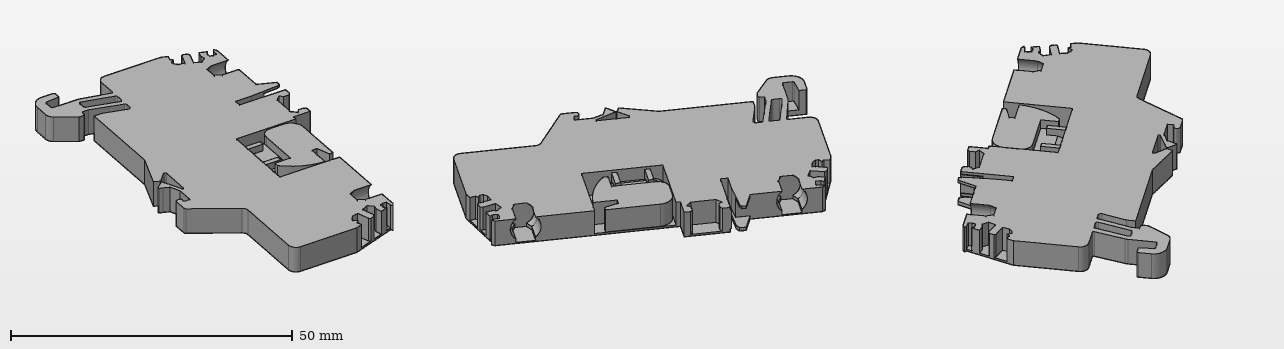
import cadquery as cq
import math

LENGTH = 66.0
HEIGHT = 40.5
THICKNESS = 5.2

SHOULDER_Y = 37.0
FLANK_BASE_Y = 27.3
BELLY_Y = 14.0
BELLY_RADIUS = 1.6
RAIL_Y = 7.05
LUG_Y = 4.6

BACK_WEB = 0.4
INNER_BACK = 0.7
INNER_FRONT = 4.7

FOOT_TOP_Y = 5.1
FOOT_TOE_RADIUS = 2.45
FOOT_HEEL_RADIUS = 1.65
STEM_X = 3.95
STEM_BEND_Y = 7.6
HOOK_WEB = 1.1
HOOK_FLOOR_Y = 2.05
HOOK_GUSSET = 0.4

PRONG_BASE_X = 16.5
SLOT_LEFT_X = 19.35
TOWER_LEFT_X = 20.7
TOWER_RIGHT_X = 29.1
SLOT_FLOOR_Y = 30.95
LIP_BOTTOM_Y = 33.1
SCOOP_TOP_Y = 38.1
SCOOP_HALF_WIDTH = (INNER_FRONT - INNER_BACK) / 2
LEDGE_WIDTH = 0.2
LEDGE_X = TOWER_LEFT_X - LEDGE_WIDTH
LEDGE_BOTTOM_Y = 36.5

GROOVE_CENTER_X = 25.05
GROOVE_FLOOR_Y = 37.5
GROOVE_HALF_WIDTHS = [(2.9, HEIGHT), (2.5, 40.1), (2.5, 39.0), (3.2, 38.5), (2.25, GROOVE_FLOOR_Y)]

SOCKET_X = 8.9
SOCKET_RADIUS = 2.8
SOCKET_MOUTH_HALF_WIDTH = 1.8
SOCKET_TIP_HALF_WIDTH = 1.05
SOCKET_CONE_Y = 33.5
SOCKET_FLOOR_Y = 32.2
SOCKET_FLOOR_Z = 0.25

WINDOW_LEFT_X = 29.9
WINDOW_RIGHT_X = 44.6
WINDOW_FLOOR_Y = 24.55
LEVER_TOP_Z = 5.1
LEVER_LEFT_X = 30.0
LEVER_TOP_Y = 36.9
LEVER_BOTTOM_Y = 29.5
LEVER_TOP_RADIUS = 2.65
LEVER_BOTTOM_RADIUS = 2.0
LEVER_TIP = (44.35, 34.1)
LEVER_FOOT_Y = 26.3
TRAY_LEFT_X = 30.2
TRAY_RIGHT_X = 40.1
TRAY_BOTTOM_Y = 25.0
TRAY_LEFT_RADIUS = 1.85
TRAY_RIGHT_RADIUS = 0.8
TRAY_BEVEL_WIDTH = 1.05
TRAY_BEVEL_DROP = 0.4
TRAY_FLOOR_Z = 3.3
BAR_WIDTH = 1.0
BAR_TOP_Y = 28.1
BAR_CENTERS_X = (32.7, 38.7)


def prism(points, bottom=0.0, top=THICKNESS):
    """Extrude a closed polygon between two Z levels."""
    return cq.Workplane("XY").workplane(offset=bottom).polyline(points).close().extrude(top - bottom)


def box(x_range, y_range, bottom=0.0, top=THICKNESS):
    """Axis-aligned block between two Z levels."""
    (x0, x1), (y0, y1) = x_range, y_range
    return prism([(x0, y0), (x1, y0), (x1, y1), (x0, y1)], bottom, top)


def with_mirror(solid):
    """The solid together with its copy at the other end of the housing."""
    return solid.add(solid.mirror("YZ").translate((LENGTH, 0, 0))).combine()


def round_corner(solid, x, y, radius):
    """Fillet the edge parallel to Z that passes through (x, y)."""
    edge = cq.selectors.BoxSelector((x - 0.05, y - 0.05, -0.65), (x + 0.05, y + 0.05, THICKNESS + 0.65))
    return solid.edges("|Z").edges(edge).fillet(radius)


def make_housing():
    """Full-thickness plate with the rail foot, spring stems and latch."""
    outline = [
        (0, BELLY_Y), (5.5, BELLY_Y), (STEM_X, STEM_BEND_Y), (STEM_X, FOOT_TOP_Y), (0, FOOT_TOP_Y),
        (0, 0), (6.15, 0), (9.05, LUG_Y), (9.05, 5.8), (7.9, 6.0), (7.9, 7.3), (9.8, BELLY_Y),
        (11.6, BELLY_Y), (10.15, 8.7), (10.15, RAIL_Y), (27.2, RAIL_Y),
        (34.05, LUG_Y), (34.6, 5.8), (32.7, 7.6), (32.8, 8.05), (38.75, 8.05), (38.75, 7.7), (34.7, 5.8),
        (36.35, 4.1), (36.7, 5.0), (37.15, 6.2), (39.15, RAIL_Y),
        (42.45, RAIL_Y), (42.45, 5.8), (41.4, 5.8), (41.4, LUG_Y), (44.55, LUG_Y),
        (50.15, BELLY_Y), (LENGTH, BELLY_Y), (LENGTH, FLANK_BASE_Y),
        (62.8, 36.35), (63.2, 36.6), (62.65, SHOULDER_Y),
        (TOWER_RIGHT_X, SHOULDER_Y), (TOWER_RIGHT_X, HEIGHT), (TOWER_LEFT_X, HEIGHT),
        (TOWER_LEFT_X, SLOT_FLOOR_Y), (SLOT_LEFT_X, SLOT_FLOOR_Y), (SLOT_LEFT_X, 34.3),
        (18.95, 40.0), (18.7, HEIGHT), (17.9, HEIGHT), (PRONG_BASE_X, SHOULDER_Y),
        (3.35, SHOULDER_Y), (2.8, 36.6), (3.2, 36.35), (0, FLANK_BASE_Y),
    ]
    housing = prism(outline)
    rounded = [
        (0, BELLY_Y, BELLY_RADIUS), (LENGTH, BELLY_Y, BELLY_RADIUS), (STEM_X, STEM_BEND_Y, 2.4),
        (0, FOOT_TOP_Y, 0.3), (0, 0, FOOT_TOE_RADIUS),
        (6.15, 0, FOOT_HEEL_RADIUS), (9.05, 5.8, 0.25), (9.8, BELLY_Y, 0.4), (11.6, BELLY_Y, 0.5),
        (5.5, BELLY_Y, 0.25), (32.7, 7.6, 0.2), (32.8, 8.05, 0.2), (36.35, 4.1, 0.2),
        (42.45, 5.8, 0.25), (41.4, 5.8, 0.25), (41.4, LUG_Y, 0.5), (44.55, LUG_Y, 0.45), (50.15, BELLY_Y, 1.3),
    ]
    for x, y, radius in rounded:
        housing = round_corner(housing, x, y, radius)
    return housing


def make_stem_slot():
    """Slanted opening that splits the stem into two springs."""
    slot = prism([(6.65, BELLY_Y), (8.7, BELLY_Y), (6.85, RAIL_Y), (4.9, RAIL_Y)])
    return slot.edges("|Z").fillet(0.4)


def make_hook_recess():
    """Recess between the foot hook and the stem, leaving a back web."""
    corners = [(1.5, FOOT_TOP_Y), (1.85, HOOK_FLOOR_Y), (STEM_X, HOOK_FLOOR_Y), (STEM_X, FOOT_TOP_Y)]
    recess = prism(corners, HOOK_WEB)
    for x, y in corners[1:3]:
        recess = round_corner(recess, x, y, 0.25)
    return recess


def make_hook_web_corner():
    """Small triangular gusset where the hook web meets the stem."""
    return prism(
        [(STEM_X, FOOT_TOP_Y), (STEM_X, FOOT_TOP_Y + HOOK_GUSSET), (STEM_X - HOOK_GUSSET, FOOT_TOP_Y)],
        0, HOOK_WEB,
    )


def make_flank_grooves():
    """Three marker grooves on each slanted flank, open to the front."""
    outlines = [
        [(3.1, 36.35), (4.35, 36.25), (4.4, 35.6), (4.2, 34.9), (3.3, 34.9), (2.8, 35.4)],
        [(2.1, 33.9), (3.5, 33.5), (4.35, 33.7), (5.2, 32.75), (4.55, 31.35), (2.1, 32.15), (1.45, 31.9)],
        [
            (1.2, 31.3), (1.5, 30.75), (3.95, 29.95), (3.6, 28.7), (3.0, 28.1),
            (2.4, 28.05), (1.9, 28.8), (1.45, 28.3), (0.25, 28.65),
        ],
    ]
    grooves = cq.Workplane("XY")
    for outline in outlines:
        grooves = grooves.add(prism(outline, BACK_WEB))
    return with_mirror(grooves.combine())


def make_sockets():
    """Round sockets with a conical end and a flat floor, open through the front face."""
    axis_depth = math.sqrt(SOCKET_RADIUS**2 - SOCKET_MOUTH_HALF_WIDTH**2)
    tip_radius = math.hypot(SOCKET_TIP_HALF_WIDTH, axis_depth)
    profile = [
        (0, SOCKET_FLOOR_Y), (tip_radius, SOCKET_FLOOR_Y), (SOCKET_RADIUS, SOCKET_CONE_Y),
        (SOCKET_RADIUS, SHOULDER_Y), (0, SHOULDER_Y),
    ]
    mouth = [
        (-SOCKET_MOUTH_HALF_WIDTH, SHOULDER_Y), (-SOCKET_MOUTH_HALF_WIDTH, SOCKET_CONE_Y),
        (-SOCKET_TIP_HALF_WIDTH, SOCKET_FLOOR_Y), (SOCKET_TIP_HALF_WIDTH, SOCKET_FLOOR_Y),
        (SOCKET_MOUTH_HALF_WIDTH, SOCKET_CONE_Y), (SOCKET_MOUTH_HALF_WIDTH, SHOULDER_Y),
    ]
    bore = cq.Workplane("XY").polyline(profile).close().revolve(360, (0, 0), (0, 1))
    bore = bore.translate((0, 0, THICKNESS - axis_depth))
    socket = bore.union(prism(mouth, SOCKET_FLOOR_Z))
    return with_mirror(socket.translate((SOCKET_X, 0, 0)))


def make_label_groove():
    """Dovetail groove in the top of the tower, closed by the back web."""
    left = [(GROOVE_CENTER_X - half, y) for half, y in GROOVE_HALF_WIDTHS]
    right = [(GROOVE_CENTER_X + half, y) for half, y in reversed(GROOVE_HALF_WIDTHS)]
    return prism(left + right, BACK_WEB)


def make_prong_gap():
    """Space between the two prong plates."""
    return box((PRONG_BASE_X, SLOT_LEFT_X), (SHOULDER_Y, HEIGHT), INNER_BACK, INNER_FRONT)


def make_prong_lip():
    """Lip that widens the back prong plate into the slot."""
    outline = [
        (SLOT_LEFT_X, LIP_BOTTOM_Y), (19.75, LIP_BOTTOM_Y), (19.55, 39.65),
        (19.1, HEIGHT), (18.7, HEIGHT), (18.95, 40.0), (SLOT_LEFT_X, 34.3),
    ]
    return prism(outline, 0, INNER_BACK)


def make_tower_ledge():
    """Thin ledge on the tower side facing the slot."""
    return box((LEDGE_X, TOWER_LEFT_X), (LEDGE_BOTTOM_Y, HEIGHT), INNER_BACK, INNER_FRONT)


def make_tower_scoop():
    """Round hollow across the ledge just above the shoulder, as deep as the ledge."""
    scoop = cq.Workplane("XZ", origin=(LEDGE_X, SCOOP_TOP_Y, INNER_BACK + SCOOP_HALF_WIDTH))
    return scoop.ellipse(LEDGE_WIDTH, SCOOP_HALF_WIDTH).extrude(SCOOP_TOP_Y - SHOULDER_Y)


def make_window():
    """Window open towards the top, closed by the back web."""
    return box((WINDOW_LEFT_X, WINDOW_RIGHT_X), (WINDOW_FLOOR_Y, SHOULDER_Y), BACK_WEB)


def make_lever():
    """Lever body with a curved right flank and a finger notch."""
    tip_x, tip_y = LEVER_TIP
    lever = (
        cq.Workplane("XY")
        .moveTo(LEVER_LEFT_X, LEVER_BOTTOM_Y)
        .lineTo(TRAY_RIGHT_X, LEVER_BOTTOM_Y)
        .lineTo(TRAY_RIGHT_X, LEVER_FOOT_Y)
        .lineTo(41.05, LEVER_FOOT_Y)
        .threePointArc((43.3, 29.7), (tip_x, tip_y))
        .lineTo(40.0, tip_y)
        .lineTo(40.0, 35.2)
        .lineTo(42.65, 36.1)
        .lineTo(42.65, LEVER_TOP_Y)
        .lineTo(LEVER_LEFT_X, LEVER_TOP_Y)
        .close()
        .extrude(LEVER_TOP_Z)
    )
    lever = round_corner(lever, LEVER_LEFT_X, LEVER_TOP_Y, LEVER_TOP_RADIUS)
    return round_corner(lever, LEVER_LEFT_X, LEVER_BOTTOM_Y, LEVER_BOTTOM_RADIUS)


def make_tray():
    """Bevelled tray below the lever, crossed by two contact bars."""
    x_range = (TRAY_LEFT_X, TRAY_RIGHT_X + TRAY_BEVEL_WIDTH)
    y_range = (TRAY_BOTTOM_Y, LEVER_BOTTOM_Y + TRAY_BEVEL_WIDTH)
    tray = box(x_range, y_range, 0, TRAY_FLOOR_Z - TRAY_BEVEL_DROP)
    tray = round_corner(tray, TRAY_LEFT_X, TRAY_BOTTOM_Y, TRAY_LEFT_RADIUS)
    bevel_angle = math.degrees(math.atan2(TRAY_BEVEL_WIDTH, TRAY_BEVEL_DROP))
    bevelled_top = tray.faces(">Z").wires().toPending().workplane()
    tray = bevelled_top.extrude(TRAY_BEVEL_DROP, taper=bevel_angle)
    rounded_envelope = box((TRAY_LEFT_X, TRAY_RIGHT_X), (TRAY_BOTTOM_Y, LEVER_BOTTOM_Y), 0, TRAY_FLOOR_Z)
    rounded_envelope = round_corner(rounded_envelope, TRAY_RIGHT_X, TRAY_BOTTOM_Y, TRAY_RIGHT_RADIUS)
    tray = tray.intersect(rounded_envelope)
    for x in BAR_CENTERS_X:
        bar = box((x - BAR_WIDTH / 2, x + BAR_WIDTH / 2), (WINDOW_FLOOR_Y, BAR_TOP_Y), 0, INNER_FRONT)
        tray = tray.union(bar)
    return tray


cutters = [
    make_stem_slot(), make_hook_recess(), make_flank_grooves(), make_sockets(),
    make_label_groove(), make_prong_gap(), make_window(),
]
additions = [
    make_hook_web_corner(), make_prong_lip(),
    make_tower_ledge(), make_lever(), make_tray(),
]

result = make_housing()
for cutter in cutters:
    result = result.cut(cutter)
for addition in additions:
    result = result.union(addition)
result = result.cut(make_tower_scoop())